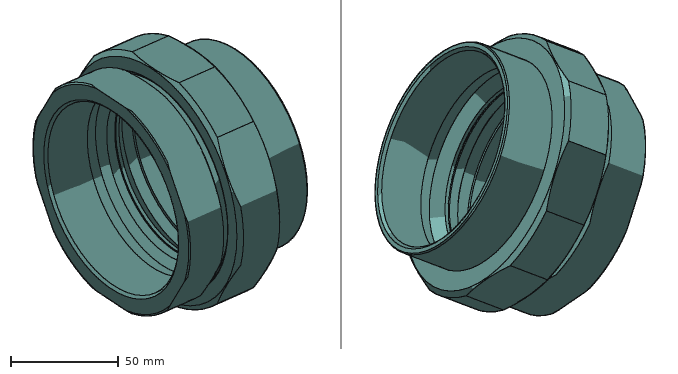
import cadquery as cq
import math


HEX_CONE_START = 20.3
HEX_END = 23.1
NUT_FRONT = 25.0
JOINT = 38.8
NUT_BACK = 50.3
TOTAL_LENGTH = 75.9

ADAPTER_FLATS = 112.0
ADAPTER_DIAMETER = 115.9
ADAPTER_FRONT_CHAMFER = 0.4
ADAPTER_FRONT_FACE_DIAMETER = 114.1
NECK_DIAMETER = 105.6
NECK_END = 27.1

COUPLING_DIAMETER = 108.7

NUT_FLATS = 124.4
NUT_DIAMETER = 129.0
NUT_CHAMFER_DIAMETER = 123.6
NUT_CHAMFER_ANGLE = 33.0
NUT_MOUTH_CHAMFER = 0.8

TAIL_DIAMETER = 104.2
TAIL_CHAMFER = 0.8
TAIL_CHAMFER_DEPTH = 0.5
FLANGE_THICKNESS = 5.2

BORE_DIAMETER = 88.1
BORE_EDGE_CHAMFER = 0.6
THREAD_MOUTH_DIAMETER = 98.9
THREAD_START_DIAMETER = 96.1
THREAD_END_DIAMETER = 94.6
RELIEF_DIAMETER = 97.7
ADAPTER_THREAD_END = 24.4
ADAPTER_RELIEF_END = 30.6
ADAPTER_BORE_START = 33.4
TAIL_BORE_END = 40.8
TAIL_RELIEF_START = 46.3
TAIL_THREAD_END = 52.4


def revolve_profile(points):
    """Turn a closed (radius, y) outline about the Y axis."""
    return cq.Workplane("XY").polyline(points).close().revolve(360, (0, 0, 0), (0, 1, 0))


def hex_prism(across_flats, y_start, y_end):
    """Hexagon along Y with flats facing +Z and -Z."""
    across_corners = across_flats / math.cos(math.pi / 6)
    return (
        cq.Workplane("XZ", origin=(0, y_start, 0))
        .polygon(6, across_corners)
        .extrude(y_start - y_end)
    )


def make_adapter():
    """Hexagonal end with a necked spigot that enters the nut."""
    hex_radius = ADAPTER_DIAMETER / 2
    neck_radius = NECK_DIAMETER / 2
    spigot_radius = COUPLING_DIAMETER / 2
    head = revolve_profile([
        (0, 0),
        (ADAPTER_FRONT_FACE_DIAMETER / 2, 0),
        (hex_radius, ADAPTER_FRONT_CHAMFER),
        (hex_radius, HEX_CONE_START),
        (neck_radius, HEX_END),
        (0, HEX_END),
    ]).intersect(hex_prism(ADAPTER_FLATS, 0, HEX_END))
    spigot = revolve_profile([
        (0, HEX_CONE_START),
        (neck_radius, HEX_CONE_START),
        (neck_radius, NECK_END),
        (spigot_radius, NECK_END),
        (spigot_radius, JOINT),
        (0, JOINT),
    ])
    mouth_depth = (THREAD_MOUTH_DIAMETER - THREAD_START_DIAMETER) / 2
    bore = revolve_profile([
        (0, 0),
        (THREAD_MOUTH_DIAMETER / 2, 0),
        (THREAD_START_DIAMETER / 2, mouth_depth),
        (THREAD_END_DIAMETER / 2, ADAPTER_THREAD_END),
        (RELIEF_DIAMETER / 2, ADAPTER_THREAD_END),
        (RELIEF_DIAMETER / 2, ADAPTER_RELIEF_END),
        (BORE_DIAMETER / 2, ADAPTER_BORE_START),
        (BORE_DIAMETER / 2, JOINT - BORE_EDGE_CHAMFER),
        (BORE_DIAMETER / 2 + BORE_EDGE_CHAMFER, JOINT),
        (0, JOINT),
    ])
    return head.union(spigot).cut(bore)


def make_tail():
    """Round tail with a flange held between the adapter and the nut's rear lip."""
    tail_radius = TAIL_DIAMETER / 2
    flange_radius = COUPLING_DIAMETER / 2
    flange_back = JOINT + FLANGE_THICKNESS
    body = revolve_profile([
        (0, JOINT),
        (flange_radius, JOINT),
        (flange_radius, flange_back),
        (tail_radius, flange_back),
        (tail_radius, TOTAL_LENGTH - TAIL_CHAMFER),
        (tail_radius - TAIL_CHAMFER_DEPTH, TOTAL_LENGTH),
        (0, TOTAL_LENGTH),
    ])
    mouth_depth = (THREAD_MOUTH_DIAMETER - THREAD_START_DIAMETER) / 2
    bore = revolve_profile([
        (0, JOINT),
        (BORE_DIAMETER / 2, JOINT),
        (BORE_DIAMETER / 2, TAIL_BORE_END),
        (RELIEF_DIAMETER / 2, TAIL_RELIEF_START),
        (RELIEF_DIAMETER / 2, TAIL_THREAD_END),
        (THREAD_END_DIAMETER / 2, TAIL_THREAD_END),
        (THREAD_START_DIAMETER / 2, TOTAL_LENGTH - mouth_depth),
        (THREAD_MOUTH_DIAMETER / 2, TOTAL_LENGTH),
        (0, TOTAL_LENGTH),
    ])
    return body.cut(bore)


def make_nut():
    """Coupling nut chamfered at both ends, with a rear lip behind the tail flange."""
    nut_radius = NUT_DIAMETER / 2
    face_radius = NUT_CHAMFER_DIAMETER / 2
    chamfer_length = (nut_radius - face_radius) * math.tan(math.radians(NUT_CHAMFER_ANGLE))
    cavity_radius = COUPLING_DIAMETER / 2
    lip_radius = TAIL_DIAMETER / 2
    lip_front = JOINT + FLANGE_THICKNESS
    turned = revolve_profile([
        (cavity_radius, NUT_FRONT + NUT_MOUTH_CHAMFER),
        (cavity_radius + NUT_MOUTH_CHAMFER, NUT_FRONT),
        (face_radius, NUT_FRONT),
        (nut_radius, NUT_FRONT + chamfer_length),
        (nut_radius, NUT_BACK - chamfer_length),
        (face_radius, NUT_BACK),
        (lip_radius, NUT_BACK),
        (lip_radius, lip_front),
        (cavity_radius, lip_front),
    ])
    return turned.intersect(hex_prism(NUT_FLATS, NUT_FRONT, NUT_BACK))


adapter = make_adapter()
nut = make_nut()
tail = make_tail()

result = cq.Compound.makeCompound([adapter.val(), nut.val(), tail.val()])